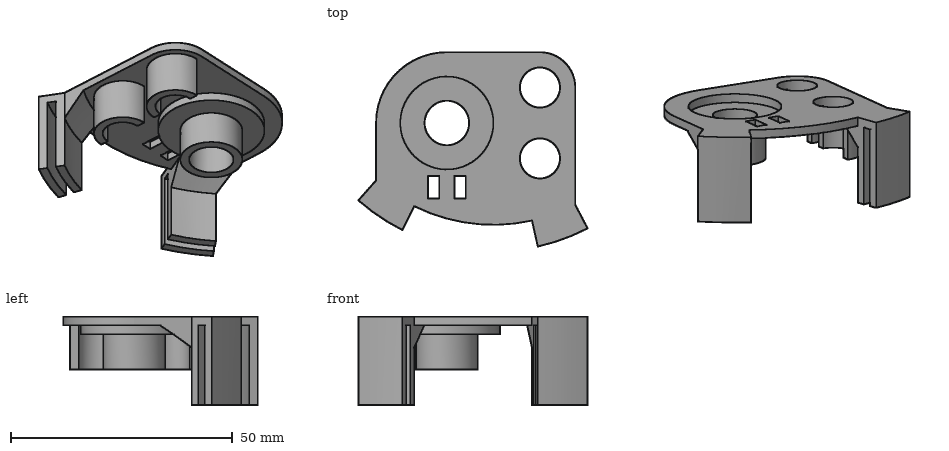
import cadquery as cq
import math

PLATE_THICKNESS = 2.0
LEG_HEIGHT = 20.0
BOSS_DEPTH = 12.0

LEFT_CORNER_RADIUS = 16.0
RIGHT_CORNER_RADIUS = 8.0
PLATE_LEFT = -LEFT_CORNER_RADIUS
PLATE_BACK = LEFT_CORNER_RADIUS
PLATE_RIGHT = 29.0

RIM_CENTER = (10.5, 17.0)
RIM_RADIUS = 40.0
LEG_THICKNESS = 6.0
LEG_SPAN = 15.0
SLIT_OFFSET = 2.0
SLIT_WIDTH = 2.0
GUSSET_SIZE = 5.0
GUSSET_SPAN = 2 * LEG_SPAN

BORE_DIAMETER = 10.0
BOSS_DIAMETER = 14.0
FLANGE_DIAMETER = 24.0
FLANGE_THICKNESS = 2.0
RECESS_DIAMETER = 21.0
RECESS_DEPTH = 2.0

SIDE_HOLE_DIAMETER = 9.0
COLLAR_WALL = 2.0
COLLAR_DIAMETER = SIDE_HOLE_DIAMETER + 2 * COLLAR_WALL
SIDE_HOLE_X = PLATE_RIGHT - RIGHT_CORNER_RADIUS
SIDE_HOLE_Y = PLATE_BACK - RIGHT_CORNER_RADIUS
SIDE_HOLES = [(SIDE_HOLE_X, SIDE_HOLE_Y), (SIDE_HOLE_X, -SIDE_HOLE_Y)]

WINDOW_WIDTH = 2.5
WINDOW_LENGTH = 5.0
WINDOW_PITCH = 6.0
WINDOW_Y = -FLANGE_DIAMETER / 2 - WINDOW_LENGTH / 2

LEFT_RIM_ANGLE = 180 + math.degrees(math.acos((RIM_CENTER[0] - PLATE_LEFT) / RIM_RADIUS))
RIGHT_RIM_ANGLE = 360 - math.degrees(math.acos((PLATE_RIGHT - RIM_CENTER[0]) / RIM_RADIUS))


def rim_point(radius, angle):
    """Point at the given radius and angle about the rim centre."""
    turn = math.radians(angle)
    return (RIM_CENTER[0] + radius * math.cos(turn), RIM_CENTER[1] + radius * math.sin(turn))


def corner_arc_point(center_x, radius, angle):
    """Point on a rear corner round that is tangent to the back edge."""
    turn = math.radians(angle)
    return (center_x + radius * math.cos(turn), PLATE_BACK - radius + radius * math.sin(turn))


def cylinder(diameter, top, bottom, center=(0, 0)):
    """Vertical cylinder between two Z levels."""
    return cq.Workplane("XY", origin=(*center, bottom)).circle(diameter / 2).extrude(top - bottom)


def make_plate():
    """Plate with two rear corner rounds and a convex front rim."""
    rim_middle = (LEFT_RIM_ANGLE + RIGHT_RIM_ANGLE) / 2
    return (
        cq.Workplane("XY", origin=(0, 0, -PLATE_THICKNESS))
        .moveTo(PLATE_LEFT, 0)
        .threePointArc(corner_arc_point(0, LEFT_CORNER_RADIUS, 135), (0, PLATE_BACK))
        .lineTo(SIDE_HOLE_X, PLATE_BACK)
        .threePointArc(corner_arc_point(SIDE_HOLE_X, RIGHT_CORNER_RADIUS, 45), (PLATE_RIGHT, SIDE_HOLE_Y))
        .lineTo(*rim_point(RIM_RADIUS, RIGHT_RIM_ANGLE))
        .threePointArc(rim_point(RIM_RADIUS, rim_middle), rim_point(RIM_RADIUS, LEFT_RIM_ANGLE))
        .close()
        .extrude(PLATE_THICKNESS)
    )


def revolve_about_rim(profile, start_angle, span):
    """Sweep a (radius, Z) profile about the vertical rim axis, anticlockwise from start_angle."""
    return (
        cq.Workplane("XZ")
        .polyline(profile)
        .close()
        .revolve(span, (0, 0, 0), (0, -1, 0))
        .rotate((0, 0, 0), (0, 0, 1), start_angle + span)
        .translate((*RIM_CENTER, 0))
    )


def make_leg(start_angle):
    """Curved leg split from below by a concentric slit."""
    outer_radius = RIM_RADIUS + LEG_THICKNESS
    slit_inner = RIM_RADIUS + SLIT_OFFSET
    slit_outer = slit_inner + SLIT_WIDTH
    profile = [
        (RIM_RADIUS, 0),
        (outer_radius, 0),
        (outer_radius, -LEG_HEIGHT),
        (slit_outer, -LEG_HEIGHT),
        (slit_outer, -PLATE_THICKNESS),
        (slit_inner, -PLATE_THICKNESS),
        (slit_inner, -LEG_HEIGHT),
        (RIM_RADIUS, -LEG_HEIGHT),
    ]
    return revolve_about_rim(profile, start_angle, LEG_SPAN)


def make_gusset(start_angle):
    """Triangular brace inside a leg, trimmed flush with the straight sides of the plate."""
    profile = [
        (RIM_RADIUS - GUSSET_SIZE, -PLATE_THICKNESS),
        (RIM_RADIUS, -PLATE_THICKNESS),
        (RIM_RADIUS, -PLATE_THICKNESS - GUSSET_SIZE),
    ]
    plate_width = PLATE_RIGHT - PLATE_LEFT
    between_sides = cq.Workplane("XY", origin=((PLATE_LEFT + PLATE_RIGHT) / 2, 0, 0)).box(
        plate_width, 2 * RIM_RADIUS, 2 * LEG_HEIGHT
    )
    return revolve_about_rim(profile, start_angle, GUSSET_SPAN).intersect(between_sides)


def make_collar(center):
    """Half-round collar on the +X side of a side hole, below the plate."""
    ring = cylinder(COLLAR_DIAMETER, -PLATE_THICKNESS, -BOSS_DEPTH, center)
    half_space = cq.Workplane("XY", origin=(*center, 0)).box(
        COLLAR_DIAMETER, COLLAR_DIAMETER, 2 * BOSS_DEPTH, centered=(False, True, True)
    )
    return ring.intersect(half_space)


def make_windows():
    """Cutters for the two rectangular windows through the plate."""
    return (
        cq.Workplane("XY", origin=(0, WINDOW_Y, -PLATE_THICKNESS))
        .rarray(WINDOW_PITCH, 1, 2, 1)
        .rect(WINDOW_WIDTH, WINDOW_LENGTH)
        .extrude(PLATE_THICKNESS)
    )


body = make_plate()

body = body.union(make_leg(LEFT_RIM_ANGLE))
body = body.union(make_leg(RIGHT_RIM_ANGLE - LEG_SPAN))
body = body.union(make_gusset(LEFT_RIM_ANGLE + LEG_SPAN - GUSSET_SPAN))
body = body.union(make_gusset(RIGHT_RIM_ANGLE - LEG_SPAN))

body = body.union(cylinder(FLANGE_DIAMETER, 0, -PLATE_THICKNESS - FLANGE_THICKNESS))
body = body.union(cylinder(BOSS_DIAMETER, -PLATE_THICKNESS, -BOSS_DEPTH))
body = body.cut(cylinder(RECESS_DIAMETER, 0, -RECESS_DEPTH))
body = body.cut(cylinder(BORE_DIAMETER, 0, -BOSS_DEPTH))

for hole_center in SIDE_HOLES:
    body = body.union(make_collar(hole_center))
    body = body.cut(cylinder(SIDE_HOLE_DIAMETER, 0, -BOSS_DEPTH, hole_center))
body = body.cut(make_windows())

result = body